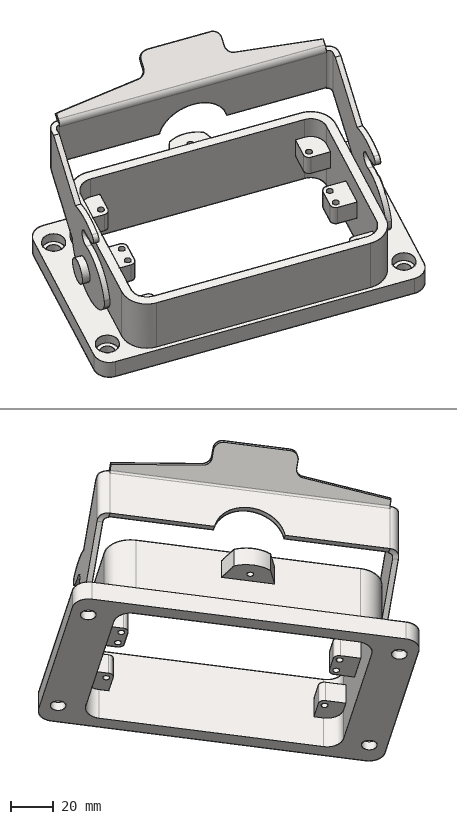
import cadquery as cq
import math

BASE_X = 94.0
BASE_Y = 165.0
BASE_HEIGHT = 10.0
BASE_CORNER_RADIUS = 7.8

WALL_X = 90.1
WALL_Y = 132.0
WALL_TOP = 40.0
WALL_THICKNESS = 4.6
WALL_CORNER_RADIUS = 12.5
OPENING_X = WALL_X - 2 * WALL_THICKNESS
OPENING_Y = WALL_Y - 2 * WALL_THICKNESS
OPENING_CORNER_RADIUS = WALL_CORNER_RADIUS - WALL_THICKNESS

MOUNT_SPACING_X = 70.0
MOUNT_SPACING_Y = 148.2
MOUNT_HOLE_DIAMETER = 7.3
MOUNT_BORE_DIAMETER = 11.2
MOUNT_BORE_DEPTH = 5.3

PAD_TOP = 27.9
PAD_HEIGHT = 10.9
PAD_REACH_Y = 12.5
PAD_CORNER_RADIUS = 2.8
CORNER_PAD_INNER_X = 27.4
MIDDLE_PAD_X = 14.5
SCREW_HOLE_DIAMETER = 3.1
SCREW_HOLE_X = (4.0, 31.0)
SCREW_HOLE_Y = 52.0

LUG_TOP = 34.2
LUG_HEIGHT = 9.9
LUG_ROOT_WIDTH = 25.2
LUG_NOSE_WIDTH = 17.5
LUG_SIDE_REACH = 9.5
LUG_REACH = 12.0
LUG_HOLE_REACH = 5.0

SHEET = 2.8
TILT = 35.0
BACK_X = -49.2
BACK_BOTTOM = 50.7
ARM_OUTER_Y = 71.8
CORNER_BEND_RADIUS = 5.1
BACK_HALF_WIDTH = ARM_OUTER_Y - CORNER_BEND_RADIUS
ARM_TOP = 75.7

SCALLOP_RADIUS = 17.2
SCALLOP_CENTRE_Z = 47.2

HANDLE_BEND_BOTTOM = 74.4
HANDLE_BEND_RADIUS = 1.4
HANDLE_LENGTH = 20.5
HANDLE_END_LENGTH = 3.0
HANDLE_SHOULDER_LENGTH = 8.5
TAB_HALF_WIDTH = 20.1
TAB_RADIUS = 4.3

HOOK_ROOT = (-12.7, 56.0)
HOOK_CREST = (-0.2, 58.5)
HOOK_TIP_UPPER = (8.7, 57.3)
HOOK_TIP = (10.9, 54.6)
HOOK_TIP_LOWER = (9.7, 52.3)
HOOK_UNDERSIDE = (6.0, 50.7)
SLOT_UPPER = (1.6, 49.8)
SLOT_BOTTOM = (-4.1, 46.2)
SLOT_LOWER = (1.5, 42.2)
CAM_UPPER = (14.8, 40.5)
NOSE_UPPER = (24.9, 28.4)
NOSE = (25.0, 25.7)
NOSE_LOWER = (24.5, 23.3)
CAM_LOWEST = (5.0, 11.5)
CAM_HEEL = (-16.8, 29.9)

PIN_Z = 25.5
PIN_RADIUS = 4.0
PIN_HEAD_RADIUS = 6.5
PIN_HEAD_HEIGHT = 3.8


def upright_block(size_x, size_y, height, corner_radius):
    """Block standing on Z = 0, centred in X and Y, with rounded upright edges."""
    block = cq.Workplane("XY").box(size_x, size_y, height, centered=(True, True, False))
    return block.edges("|Z").fillet(corner_radius)


def make_pads():
    """Screw pads along both Y walls: one in each corner and one in the middle."""
    pad_size_y = PAD_REACH_Y + WALL_THICKNESS
    pad_centre_y = WALL_Y / 2 - pad_size_y / 2
    pad_centre_z = PAD_TOP - PAD_HEIGHT / 2
    corner_pad_x = WALL_X / 2 - CORNER_PAD_INNER_X
    corner_centre_x = WALL_X / 2 - corner_pad_x / 2

    middle = cq.Workplane("XY").box(MIDDLE_PAD_X, pad_size_y, PAD_HEIGHT)
    middle = middle.edges("|Z and <Y").fillet(PAD_CORNER_RADIUS)
    middle = middle.translate((0, pad_centre_y, pad_centre_z))
    corner = cq.Workplane("XY").box(corner_pad_x, pad_size_y, PAD_HEIGHT)
    corner = corner.edges("|Z and <Y and <X").fillet(PAD_CORNER_RADIUS)
    corner = corner.translate((corner_centre_x, pad_centre_y, pad_centre_z))

    row = middle.union(corner).union(corner.mirror("YZ"))
    for hole_x in SCREW_HOLE_X:
        for side in (-1, 1):
            hole = cq.Workplane("XY").circle(SCREW_HOLE_DIAMETER / 2).extrude(PAD_TOP)
            row = row.cut(hole.translate((side * hole_x, SCREW_HOLE_Y, 0)))
    row = row.intersect(upright_block(WALL_X, WALL_Y, WALL_TOP, WALL_CORNER_RADIUS))
    return row.union(row.mirror("XZ"))


def make_lug():
    """Drilled lug on the -X wall, with slanted sides and a rounded nose."""
    wall_x = -WALL_X / 2
    root_x = wall_x + WALL_THICKNESS / 2
    side_x = wall_x - LUG_SIDE_REACH
    lug = (
        cq.Workplane("XY", origin=(0, 0, LUG_TOP - LUG_HEIGHT))
        .moveTo(root_x, LUG_ROOT_WIDTH / 2)
        .lineTo(wall_x, LUG_ROOT_WIDTH / 2)
        .lineTo(side_x, LUG_NOSE_WIDTH / 2)
        .threePointArc((wall_x - LUG_REACH, 0), (side_x, -LUG_NOSE_WIDTH / 2))
        .lineTo(wall_x, -LUG_ROOT_WIDTH / 2)
        .lineTo(root_x, -LUG_ROOT_WIDTH / 2)
        .close()
        .extrude(LUG_HEIGHT)
    )
    hole = cq.Workplane("XY").circle(SCREW_HOLE_DIAMETER / 2).extrude(LUG_TOP)
    return lug.cut(hole.translate((wall_x - LUG_HOLE_REACH, 0, 0)))


def make_housing():
    """Flange plate with an open rectangular wall, mounting holes, pads and lug."""
    base = upright_block(BASE_X, BASE_Y, BASE_HEIGHT, BASE_CORNER_RADIUS)
    base = (
        base.faces(">Z")
        .workplane()
        .rect(MOUNT_SPACING_X, MOUNT_SPACING_Y, forConstruction=True)
        .vertices()
        .cboreHole(MOUNT_HOLE_DIAMETER, MOUNT_BORE_DIAMETER, MOUNT_BORE_DEPTH)
    )
    wall = upright_block(WALL_X, WALL_Y, WALL_TOP, WALL_CORNER_RADIUS)
    opening = upright_block(OPENING_X, OPENING_Y, WALL_TOP, OPENING_CORNER_RADIUS)
    return base.union(wall).union(make_lug()).cut(opening).union(make_pads())


def make_back():
    """Upright back plate between the corner bends, with a round scallop below."""
    height = HANDLE_BEND_BOTTOM - BACK_BOTTOM
    plate = cq.Workplane("XY").box(SHEET, 2 * BACK_HALF_WIDTH, height, centered=(False, True, False))
    plate = plate.translate((BACK_X, 0, BACK_BOTTOM))
    scallop = cq.Workplane("YZ").circle(SCALLOP_RADIUS).extrude(SHEET)
    return plate.cut(scallop.translate((BACK_X, 0, SCALLOP_CENTRE_Z)))


def make_handle():
    """Bend at the top of the back plate and the tilted handle with its middle tab."""
    tilt = math.radians(TILT)
    bend_x = BACK_X - HANDLE_BEND_RADIUS
    half_way = (math.pi / 2 - tilt) / 2

    def bend_point(radius, angle):
        return (bend_x + radius * math.cos(angle), HANDLE_BEND_BOTTOM + radius * math.sin(angle))

    inner = HANDLE_BEND_RADIUS
    outer = HANDLE_BEND_RADIUS + SHEET
    bend = (
        cq.Workplane("XZ")
        .moveTo(*bend_point(inner, 0))
        .lineTo(*bend_point(outer, 0))
        .threePointArc(bend_point(outer, half_way), bend_point(outer, 2 * half_way))
        .lineTo(*bend_point(inner, 2 * half_way))
        .threePointArc(bend_point(inner, half_way), bend_point(inner, 0))
        .close()
        .extrude(BACK_HALF_WIDTH, both=True)
    )

    half_outline = [
        (-HANDLE_END_LENGTH, BACK_HALF_WIDTH),
        (-HANDLE_SHOULDER_LENGTH, TAB_HALF_WIDTH),
        (-HANDLE_LENGTH, TAB_HALF_WIDTH),
    ]
    mirrored = [(x, -y) for x, y in reversed(half_outline)]
    outline = [(0, BACK_HALF_WIDTH)] + half_outline + mirrored + [(0, -BACK_HALF_WIDTH)]
    flat = cq.Workplane("XY").polyline(outline).close().extrude(SHEET)
    tab_zone = cq.selectors.BoxSelector(
        (-HANDLE_LENGTH - SHEET, -TAB_HALF_WIDTH - SHEET, -SHEET),
        (-HANDLE_SHOULDER_LENGTH + SHEET, TAB_HALF_WIDTH + SHEET, 2 * SHEET),
    )
    flat = flat.edges(tab_zone).edges("|Z").fillet(TAB_RADIUS)
    start_x, start_z = bend_point(inner, 2 * half_way)
    handle = flat.rotate((0, 0, 0), (0, 1, 0), TILT).translate((start_x, 0, start_z))
    return bend.union(handle)


def arm_outline():
    """Side outline of an arm in X and Z: sloping strip, hook, slot and cam."""
    slope = math.tan(math.radians(TILT))
    top_x = HOOK_ROOT[0] - (ARM_TOP - HOOK_ROOT[1]) / slope
    bend_end_x = BACK_X + CORNER_BEND_RADIUS
    bend_end_z = CAM_HEEL[1] + (CAM_HEEL[0] - bend_end_x) * slope
    return (
        cq.Workplane("XZ")
        .moveTo(BACK_X, ARM_TOP)
        .lineTo(top_x, ARM_TOP)
        .lineTo(*HOOK_ROOT)
        .threePointArc(HOOK_CREST, HOOK_TIP_UPPER)
        .threePointArc(HOOK_TIP, HOOK_TIP_LOWER)
        .threePointArc(HOOK_UNDERSIDE, SLOT_UPPER)
        .threePointArc(SLOT_BOTTOM, SLOT_LOWER)
        .threePointArc(CAM_UPPER, NOSE_UPPER)
        .threePointArc(NOSE, NOSE_LOWER)
        .threePointArc(CAM_LOWEST, CAM_HEEL)
        .lineTo(bend_end_x, bend_end_z)
        .tangentArcPoint((BACK_X, BACK_BOTTOM), relative=False)
        .close()
    )


def make_arm():
    """Arm on the +Y side, with the corner bend that joins it to the back plate."""
    bend_x = BACK_X + CORNER_BEND_RADIUS
    inner_radius = CORNER_BEND_RADIUS - SHEET
    diagonal = math.sqrt(0.5)
    plan = (
        cq.Workplane("XY")
        .moveTo(BACK_X, BACK_HALF_WIDTH)
        .threePointArc(
            (bend_x - CORNER_BEND_RADIUS * diagonal, BACK_HALF_WIDTH + CORNER_BEND_RADIUS * diagonal),
            (bend_x, ARM_OUTER_Y),
        )
        .lineTo(BASE_X / 2, ARM_OUTER_Y)
        .lineTo(BASE_X / 2, ARM_OUTER_Y - SHEET)
        .lineTo(bend_x, ARM_OUTER_Y - SHEET)
        .threePointArc(
            (bend_x - inner_radius * diagonal, BACK_HALF_WIDTH + inner_radius * diagonal),
            (BACK_X + SHEET, BACK_HALF_WIDTH),
        )
        .close()
        .extrude(ARM_TOP)
    )
    return plan.intersect(arm_outline().extrude(-BASE_Y / 2))


def make_pin():
    """Headed pivot pin on the +Y side, running from the wall out through the arm."""
    wall_y = WALL_Y / 2
    shank = cq.Workplane("XZ", origin=(0, wall_y, PIN_Z)).circle(PIN_RADIUS).extrude(wall_y - ARM_OUTER_Y)
    head = cq.Workplane("XZ", origin=(0, ARM_OUTER_Y, PIN_Z)).circle(PIN_HEAD_RADIUS).extrude(-PIN_HEAD_HEIGHT)
    return shank.union(head)


def make_lever():
    """Bent sheet lever with two hooked arms and the pins it turns on."""
    side = make_arm().union(make_pin())
    return make_back().union(make_handle()).union(side).union(side.mirror("XZ"))


housing = make_housing()
lever = make_lever()

result = cq.Compound.makeCompound([housing.val(), lever.val()])